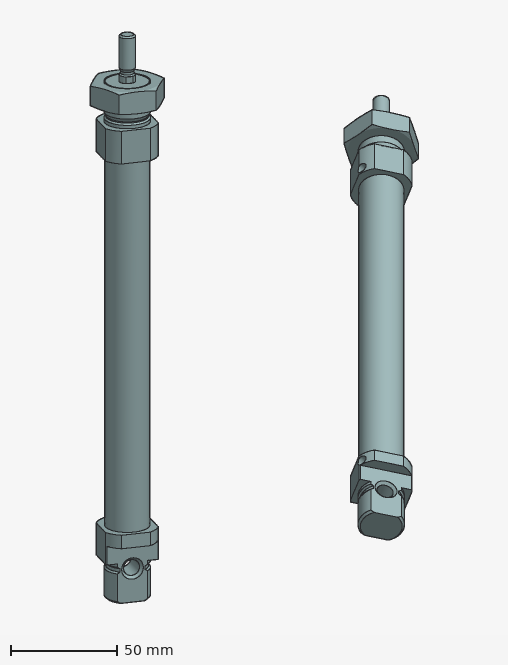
import cadquery as cq
import math

TOTAL_LENGTH = 282
REAR_BLOCK_TOP = 36.0
REAR_BLOCK_BOTTOM = 29.3
LUG_BLOCK_BOTTOM = 20.0
FRONT_BLOCK_TOP = 238.5
FRONT_BLOCK_BOTTOM = 222.2
NUT_THICKNESS = 11.0
COLLAR_TOP = 258.5

BLOCK_WIDTH = 26.2
BLOCK_CORNER_DIAMETER = 30.0

TUBE_DIAMETER = 21.5
LUG_DIAMETER = 22.0
LUG_THICKNESS = 16.0
LUG_GROOVE_DIAMETER = 20.3
LUG_GROOVE_TOP = 18.3
LUG_GROOVE_BOTTOM = 15.0
LUG_GROOVE_SLOPE = (LUG_DIAMETER - LUG_GROOVE_DIAMETER) / 2
LUG_END_CHAMFER = 1.0
PIVOT_HEIGHT = 17.0
PIVOT_DIAMETER = 8.0
PIVOT_CHAMFER = 1.5

COLLAR_DIAMETER = 22.0
COLLAR_GROOVE_DIAMETER = 20.3
COLLAR_GROOVE_TOP = 243.5
COLLAR_GROOVE_BOTTOM = 240.3
COLLAR_GROOVE_SLOPE = 1.7
COLLAR_END_CHAMFER = 0.5

SCREW_HOLE_DIAMETER = 5.0
SCREW_HOLE_DEPTH = 4.2
SCREW_HOLE_ANGLE = 35
FRONT_SCREW_HEIGHT = 225.5
REAR_SCREW_HEIGHT = 32.1

NUT_ACROSS_FLATS = 32.0
HEX_HALF_ANGLE = 30
NUT_ACROSS_CORNERS = NUT_ACROSS_FLATS / math.cos(math.radians(HEX_HALF_ANGLE))
NUT_CHAMFER_ANGLE = 15

ROD_DIAMETER = 8.0
ROD_BOTTOM = FRONT_BLOCK_BOTTOM
ROD_TIP_CHAMFER = 0.8
ROD_GROOVE_DIAMETER = 6.5
ROD_GROOVE_TOP = 265.5
ROD_GROOVE_BOTTOM = 262.0
ROD_GROOVE_SLOPE = 1.5
ROD_ACROSS_FLATS = 7.0
ROD_FLATS_TOP = 262.0


def cylinder(diameter, bottom, top):
    return cq.Workplane().workplane(offset=bottom).circle(diameter / 2).extrude(top - bottom)


def cap_block(bottom, top):
    square = cq.Workplane().workplane(offset=bottom).rect(BLOCK_WIDTH, BLOCK_WIDTH).extrude(top - bottom)
    return square.intersect(cylinder(BLOCK_CORNER_DIAMETER, bottom, top))


def slab(thickness, bottom, top):
    """Wide plate centred on the axis, thin along X."""
    return (
        cq.Workplane().workplane(offset=bottom)
        .rect(thickness, BLOCK_CORNER_DIAMETER).extrude(top - bottom)
    )


def ring_groove(outer_diameter, inner_diameter, bottom, top, upper_slope):
    """Ring cutter for a flat-floored groove: 45 degrees at the bottom, upper_slope tall at the top."""
    outer = outer_diameter / 2
    inner = inner_diameter / 2
    section = [
        (outer, bottom),
        (inner, bottom + outer - inner),
        (inner, top - upper_slope),
        (outer, top),
    ]
    return cq.Workplane("XZ").polyline(section).close().revolve(360, (0, 0, 0), (0, 1, 0))


def make_lug():
    lug = cylinder(LUG_DIAMETER, 0, LUG_BLOCK_BOTTOM).faces("<Z").chamfer(LUG_END_CHAMFER)
    lug = lug.cut(ring_groove(
        LUG_DIAMETER, LUG_GROOVE_DIAMETER, LUG_GROOVE_BOTTOM, LUG_GROOVE_TOP, LUG_GROOVE_SLOPE
    ))
    lug = lug.union(cap_block(LUG_BLOCK_BOTTOM, REAR_BLOCK_TOP))
    return lug.intersect(slab(LUG_THICKNESS, 0, REAR_BLOCK_TOP))


def pivot_cutter():
    """Cross hole along X with a countersink at each face of the lug."""
    radius = PIVOT_DIAMETER / 2
    half = LUG_THICKNESS / 2
    section = [
        (-half, 0),
        (-half, radius + PIVOT_CHAMFER),
        (PIVOT_CHAMFER - half, radius),
        (half - PIVOT_CHAMFER, radius),
        (half, radius + PIVOT_CHAMFER),
        (half, 0),
    ]
    cutter = cq.Workplane("XY").polyline(section).close().revolve(360, (0, 0, 0), (1, 0, 0))
    return cutter.translate((0, 0, PIVOT_HEIGHT))


def screw_hole_cutter(height):
    angle = math.radians(SCREW_HOLE_ANGLE)
    outward = cq.Vector(-math.sin(angle), math.cos(angle), 0)
    bottom = outward * (BLOCK_CORNER_DIAMETER / 2 - SCREW_HOLE_DEPTH) + cq.Vector(0, 0, height)
    plane = cq.Plane(origin=bottom, xDir=(0, 0, 1), normal=outward)
    return cq.Workplane(plane).circle(SCREW_HOLE_DIAMETER / 2).extrude(2 * SCREW_HOLE_DEPTH)


def make_collar():
    collar = cylinder(COLLAR_DIAMETER, FRONT_BLOCK_TOP, COLLAR_TOP).faces(">Z").chamfer(COLLAR_END_CHAMFER)
    return collar.cut(ring_groove(
        COLLAR_DIAMETER, COLLAR_GROOVE_DIAMETER, COLLAR_GROOVE_BOTTOM, COLLAR_GROOVE_TOP, COLLAR_GROOVE_SLOPE
    ))


def make_housing():
    housing = (
        make_lug()
        .union(cap_block(REAR_BLOCK_BOTTOM, REAR_BLOCK_TOP))
        .union(cylinder(TUBE_DIAMETER, REAR_BLOCK_TOP, FRONT_BLOCK_BOTTOM))
        .union(cap_block(FRONT_BLOCK_BOTTOM, FRONT_BLOCK_TOP))
        .union(make_collar())
        .cut(pivot_cutter())
    )
    for height in (REAR_SCREW_HEIGHT, FRONT_SCREW_HEIGHT):
        housing = housing.cut(screw_hole_cutter(height))
    return housing.cut(cylinder(ROD_DIAMETER, ROD_BOTTOM, COLLAR_TOP))


def make_nut():
    bottom = COLLAR_TOP - NUT_THICKNESS
    hexagon = (
        cq.Workplane().workplane(offset=bottom)
        .polygon(6, NUT_ACROSS_CORNERS).extrude(NUT_THICKNESS)
        .rotate((0, 0, 0), (0, 0, 1), HEX_HALF_ANGLE)
    )
    chamfer_width = (NUT_ACROSS_CORNERS - NUT_ACROSS_FLATS) / 2
    chamfer_height = chamfer_width * math.tan(math.radians(NUT_CHAMFER_ANGLE))
    envelope = (
        cylinder(NUT_ACROSS_CORNERS, bottom, COLLAR_TOP)
        .faces("<Z or >Z").chamfer(chamfer_height, chamfer_width)
    )
    return hexagon.intersect(envelope).cut(cylinder(COLLAR_DIAMETER, bottom, COLLAR_TOP))


def make_rod():
    rod = cylinder(ROD_DIAMETER, ROD_BOTTOM, TOTAL_LENGTH).faces(">Z").chamfer(ROD_TIP_CHAMFER)
    rod = rod.cut(ring_groove(
        ROD_DIAMETER, ROD_GROOVE_DIAMETER, ROD_GROOVE_BOTTOM, ROD_GROOVE_TOP, ROD_GROOVE_SLOPE
    ))
    flats = (
        cylinder(2 * ROD_DIAMETER, COLLAR_TOP, ROD_FLATS_TOP)
        .cut(slab(ROD_ACROSS_FLATS, COLLAR_TOP, ROD_FLATS_TOP))
    )
    return rod.cut(flats)


housing = make_housing()
nut = make_nut()
rod = make_rod()

result = cq.Compound.makeCompound([housing.val(), nut.val(), rod.val()])